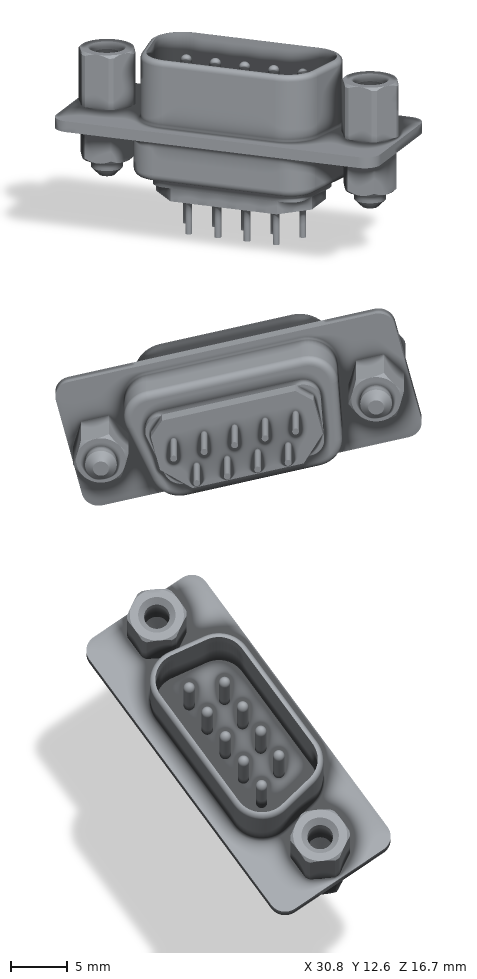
import cadquery as cq
import math


flange_length = 30.81
flange_width = 12.55
flange_thickness = 1.0
flange_corner_radius = 1.5

d_side_angle = math.radians(10)

shell_half_height = 4.68
shell_half_width = 8.74
shell_corner_radius = 3.0
shell_wall = 0.5
shell_top = 7.04
cavity_floor = 0.5
shell_rim_radius = 0.48
shell_root_radius = 0.22

housing_half_height = 5.37
housing_half_width = 9.16
housing_corner_radius = 2.55
housing_bottom = -3.96
housing_edge_radius = 0.65
housing_root_radius = 0.2

step_half_height = 3.5
step_half_width = 7.61
step_corner_radius = 1.55
step_bottom = -4.98

base_half_length = 7.4
base_front_half_length = 5.05
base_front_y = -3.52
base_front_corner_y = -1.08
base_back_y = 3.6
base_back_corner_y = 2.27
base_bottom = -6.17

contact_pitch = 2.77
contact_row_y = 1.42
contact_diameter = 1.0
contact_top = 5.9
tail_diameter = 0.6
tail_bottom = -9.66

lock_spacing = 25.0
jack_across_flats = 4.77
jack_corner_diameter = 5.26
jack_collar_height = 0.17
jack_collar_diameter = 4.7
jack_top = 6.17
jack_hole_diameter = 2.25
jack_sink_diameter = 3.3
jack_hole_depth = 4.0
drill_point_angle = math.radians(59)

nut_across_flats = 4.38
nut_bottom = housing_bottom
stud_diameter = 2.8
stud_bottom = -5.56
stud_chamfer = 0.7

hex_half_angle = math.radians(30)
nut_corner_diameter = nut_across_flats / math.cos(hex_half_angle)


def d_prism(half_height, half_width, corner_radius, z_low, z_high):
    """Rounded trapezoid, wider at +Y, extruded from z_low to z_high."""
    side_shift = half_height * math.tan(d_side_angle)
    wide = half_width + side_shift
    narrow = half_width - side_shift
    corners = [
        (-wide, half_height),
        (wide, half_height),
        (narrow, -half_height),
        (-narrow, -half_height),
    ]
    prism = cq.Workplane("XY").workplane(offset=z_low).polyline(corners).close().extrude(z_high - z_low)
    return prism.edges("|Z").fillet(corner_radius)


def cylinder(x, y, diameter, z_low, z_high):
    return cq.Workplane("XY", origin=(x, y, z_low)).circle(diameter / 2).extrude(z_high - z_low)


def hexagon(x, across_flats, z_low, z_high):
    corner_diameter = across_flats / math.cos(hex_half_angle)
    return cq.Workplane("XY", origin=(x, 0, z_low)).polygon(6, corner_diameter).extrude(z_high - z_low)


def round_blank(x, blank_diameter, across_flats, z_low, z_high, end_face):
    """Round bar whose end face is chamfered at 45 degrees down to the hexagon's flats."""
    chamfer = (blank_diameter - across_flats) / 2
    return cylinder(x, 0, blank_diameter, z_low, z_high).faces(end_face).chamfer(chamfer)


def make_flange():
    plate = cq.Workplane("XY").rect(flange_length, flange_width).extrude(flange_thickness)
    return plate.edges("|Z").fillet(flange_corner_radius)


def root_edges(body, z, half_height):
    """Edges of the closed outline where a D-shaped body meets the flange face at height z."""
    margin = 0.02
    reach_x = lock_spacing / 2
    reach_y = half_height + margin
    selector = cq.selectors.BoxSelector((-reach_x, -reach_y, z - margin), (reach_x, reach_y, z + margin))
    return body.edges(selector)


def make_shell_and_housing():
    shell = d_prism(shell_half_height, shell_half_width, shell_corner_radius, 0, shell_top)
    shell = shell.faces(">Z").edges().fillet(shell_rim_radius)
    housing = d_prism(housing_half_height, housing_half_width, housing_corner_radius, housing_bottom, 0)
    housing = housing.faces("<Z").edges().fillet(housing_edge_radius)
    body = make_flange().union(shell).union(housing)
    body = root_edges(body, flange_thickness, shell_half_height).fillet(shell_root_radius)
    body = root_edges(body, 0, housing_half_height).fillet(housing_root_radius)
    cavity = d_prism(
        shell_half_height - shell_wall,
        shell_half_width - shell_wall / math.cos(d_side_angle),
        shell_corner_radius - shell_wall,
        cavity_floor,
        shell_top,
    )
    return body.cut(cavity)


def make_insulator():
    step = d_prism(step_half_height, step_half_width, step_corner_radius, step_bottom, housing_bottom)
    base_back_half_length = base_half_length - (base_back_y - base_back_corner_y)
    right_side = [
        (base_front_half_length, base_front_y),
        (base_half_length, base_front_corner_y),
        (base_half_length, base_back_corner_y),
        (base_back_half_length, base_back_y),
    ]
    left_side = [(-x, y) for x, y in reversed(right_side)]
    base = cq.Workplane("XY").workplane(offset=base_bottom).polyline(right_side + left_side).close()
    return step.union(base.extrude(step_bottom - base_bottom))


def make_contact(x, y):
    """Round-nosed pin above the cavity floor and a thinner tail below the base."""
    pin = cylinder(x, y, contact_diameter, 0, contact_top - contact_diameter / 2)
    nose = cq.Workplane("XY", origin=(x, y, contact_top - contact_diameter / 2)).sphere(contact_diameter / 2)
    tail = cylinder(x, y, tail_diameter, tail_bottom, 0)
    return pin.union(nose).union(tail)


def make_jack(x):
    """Hexagonal jack socket with trimmed corners, standing on a thin collar."""
    hex_bottom = flange_thickness + jack_collar_height
    blank = round_blank(x, jack_corner_diameter, jack_across_flats, hex_bottom, jack_top, ">Z")
    socket = hexagon(x, jack_across_flats, hex_bottom, jack_top).intersect(blank)
    return socket.union(cylinder(x, 0, jack_collar_diameter, 0, hex_bottom))


def make_jack_hole(x):
    """Countersunk blind hole with a conical bottom, as a solid of revolution."""
    radius = jack_hole_diameter / 2
    sink_radius = jack_sink_diameter / 2
    sink_bottom = jack_top - (sink_radius - radius)
    wall_bottom = jack_top - jack_hole_depth
    point = wall_bottom - radius / math.tan(drill_point_angle)
    profile = [
        (0, jack_top),
        (sink_radius, jack_top),
        (radius, sink_bottom),
        (radius, wall_bottom),
        (0, point),
    ]
    return cq.Workplane("XZ", origin=(x, 0, 0)).polyline(profile).close().revolve(360, (0, 0), (0, 1))


def make_nut(x):
    """Hexagonal nut under the flange with the chamfered stud end showing below it."""
    blank = round_blank(x, nut_corner_diameter, nut_across_flats, nut_bottom, 0, "<Z")
    nut = hexagon(x, nut_across_flats, nut_bottom, 0).intersect(blank)
    stud = cylinder(x, 0, stud_diameter, stud_bottom, 0).faces("<Z").chamfer(stud_chamfer)
    return nut.union(stud)


result = make_shell_and_housing().union(make_insulator())

for contact_count, row_y in ((5, contact_row_y), (4, -contact_row_y)):
    for index in range(contact_count):
        contact_x = (index - (contact_count - 1) / 2) * contact_pitch
        result = result.union(make_contact(contact_x, row_y))

for lock_x in (-lock_spacing / 2, lock_spacing / 2):
    result = result.union(make_jack(lock_x)).union(make_nut(lock_x)).cut(make_jack_hole(lock_x))